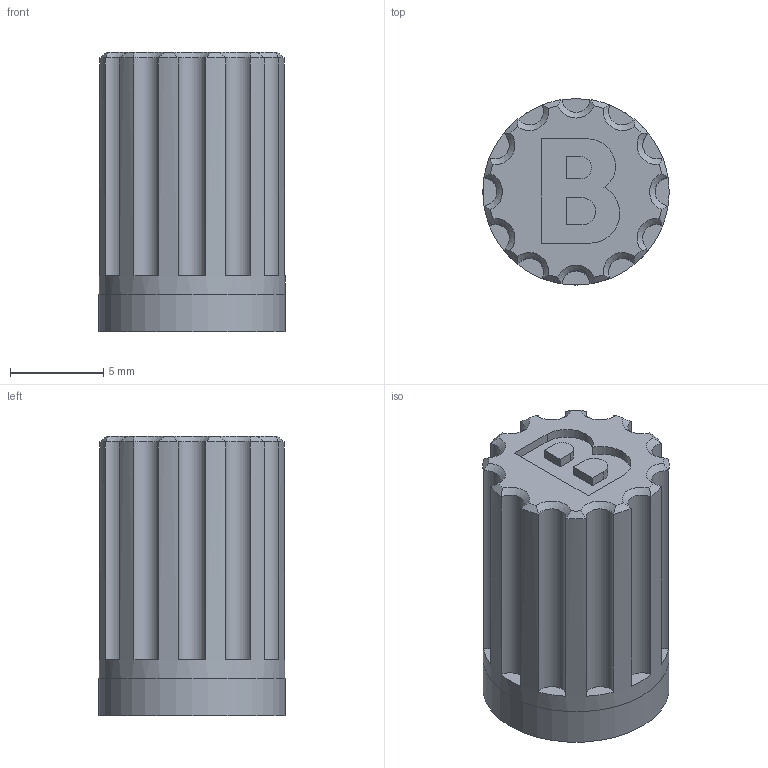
import cadquery as cq

cap_diameter = 10.0
cap_height = 15.0
collar_height = 2.0
cap_radius = cap_diameter / 2

flute_count = 12
flute_radius = 0.75
flute_start_height = 3.0
flute_centre_radius = cap_radius
top_chamfer = 0.3

letter_depth = 0.5
letter_left = -1.85
letter_top = 2.83
letter_bottom = -2.77
waist_x = 1.5
waist_y = 0.24
upper_lobe_right = 2.13
upper_lobe_y = 1.33
lower_lobe_right = 2.35
lower_lobe_y = -1.17

island_left = -0.52
upper_island_top = 1.88
upper_island_bottom = 0.69
upper_island_right = 0.84
lower_island_top = -0.33
lower_island_bottom = -1.79
lower_island_right = 1.05


def make_collar():
    """Plain cylindrical band at the bottom."""
    return cq.Workplane("XY").circle(cap_radius).extrude(collar_height)


def make_grip():
    """Cylinder above the collar with evenly spaced round flutes open at the top."""
    flutes = (
        cq.Workplane("XY")
        .workplane(offset=flute_start_height)
        .polarArray(flute_centre_radius, 0, 360, flute_count)
        .circle(flute_radius)
        .extrude(cap_height - flute_start_height)
    )
    return (
        cq.Workplane("XY")
        .workplane(offset=collar_height)
        .circle(cap_radius)
        .extrude(cap_height - collar_height)
        .cut(flutes)
    )


def waist_arc_radius(lobe_right, lobe_y):
    """Radius of the arc that leaves a lobe's rightmost point vertically and ends at the waist."""
    run = lobe_right - waist_x
    rise = lobe_y - waist_y
    return (run**2 + rise**2) / (2 * run)


def make_letter_body():
    """Outer shape of the letter; each lobe is a quarter circle and an arc to the waist."""
    upper_radius = letter_top - upper_lobe_y
    lower_radius = lower_lobe_y - letter_bottom
    upper_lobe_tip = (upper_lobe_right, upper_lobe_y)
    lower_lobe_tip = (lower_lobe_right, lower_lobe_y)
    return (
        cq.Workplane("XY")
        .workplane(offset=cap_height)
        .moveTo(letter_left, letter_bottom)
        .lineTo(letter_left, letter_top)
        .lineTo(upper_lobe_right - upper_radius, letter_top)
        .radiusArc(upper_lobe_tip, upper_radius)
        .radiusArc((waist_x, waist_y), waist_arc_radius(*upper_lobe_tip))
        .radiusArc(lower_lobe_tip, waist_arc_radius(*lower_lobe_tip))
        .radiusArc((lower_lobe_right - lower_radius, letter_bottom), lower_radius)
        .close()
        .extrude(-letter_depth)
    )


def make_island(top, bottom, right):
    """D-shaped island left standing inside the letter."""
    arc_radius = (top - bottom) / 2
    arc_start_x = right - arc_radius
    return (
        cq.Workplane("XY")
        .workplane(offset=cap_height)
        .moveTo(island_left, bottom)
        .lineTo(island_left, top)
        .lineTo(arc_start_x, top)
        .threePointArc((right, (top + bottom) / 2), (arc_start_x, bottom))
        .close()
        .extrude(-letter_depth)
    )


def make_letter():
    """Letter B with its two islands removed, ready to be engraved."""
    upper_island = make_island(upper_island_top, upper_island_bottom, upper_island_right)
    lower_island = make_island(lower_island_top, lower_island_bottom, lower_island_right)
    return make_letter_body().cut(upper_island).cut(lower_island)


collar = make_collar()
grip = make_grip().faces(">Z").chamfer(top_chamfer)
result = collar.union(grip, clean=False).cut(make_letter(), clean=False)